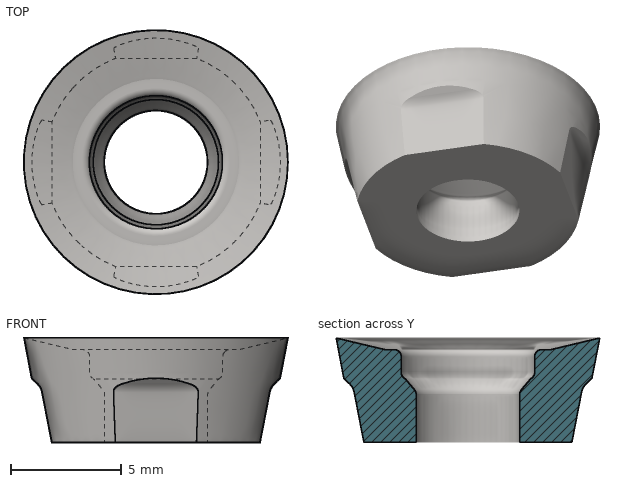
import cadquery as cq
import math

top_radius = 6.0
height = 4.76
relief_angle = 11.0
relief_slope = math.tan(math.radians(relief_angle))
base_radius = top_radius - height * relief_slope

ring_radius = 3.78
ring_height = 4.24

mouth_fillet = 0.32
seat_radius = 3.02
seat_bottom = 3.2
cone_top_radius = 2.85
cone_top = 2.9
cone_bottom_radius = 2.44
cone_bottom = 2.42
bore_radius = 2.34
bore_top = 2.21

flat_count = 4
flat_base_distance = 4.73
flat_height = 2.29
flat_width = 6.0
runout_radius = 5.4
runout_height = 2.69
break_height = 2.93
overrun = 0.6


def radius_at(base, z):
    """Radius at height z of a surface inclined at the relief angle."""
    return base + z * relief_slope


def make_body():
    """Revolve the dished body together with its screw hole."""
    mouth_radius = seat_radius + mouth_fillet
    profile = (
        cq.Workplane("XZ")
        .moveTo(bore_radius, 0)
        .lineTo(base_radius, 0)
        .lineTo(top_radius, height)
        .lineTo(ring_radius, ring_height)
        .lineTo(mouth_radius, ring_height)
        .radiusArc((seat_radius, ring_height - mouth_fillet), -mouth_fillet)
        .lineTo(seat_radius, seat_bottom)
        .tangentArcPoint((cone_top_radius, cone_top), relative=False)
        .lineTo(cone_bottom_radius, cone_bottom)
        .tangentArcPoint((bore_radius, bore_top), relative=False)
        .close()
    )
    return profile.revolve(360, (0, 0, 0), (0, 1, 0))


def make_flat_cutter():
    """Prism that removes the +X flat and its curved run-out."""
    break_radius = radius_at(base_radius, break_height)
    runout_slope = (break_height - runout_height) / (break_radius - runout_radius)
    outer = break_radius + overrun
    profile = (
        cq.Workplane("XZ")
        .moveTo(radius_at(flat_base_distance, -overrun), -overrun)
        .lineTo(radius_at(flat_base_distance, flat_height), flat_height)
        .tangentArcPoint((runout_radius, runout_height), relative=False)
        .lineTo(outer, break_height + overrun * runout_slope)
        .lineTo(outer, -overrun)
        .close()
    )
    return profile.extrude(flat_width / 2, both=True)


result = make_body()
flat_cutter = make_flat_cutter()
for index in range(flat_count):
    angle = index * 360 / flat_count
    result = result.cut(flat_cutter.rotate((0, 0, 0), (0, 0, 1), angle))